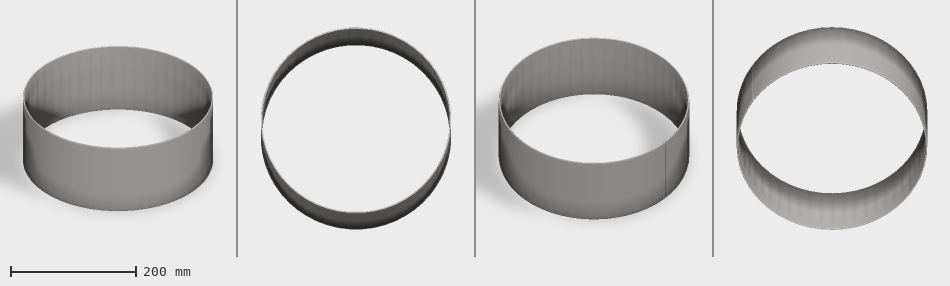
import cadquery as cq

outer_diameter = 305.0
height = 120.0
wall = 2.5
outer_bevel_height = 1.8
inner_bevel_height = 0.5
bevel_inset = 0.5
slit_width = 2.5
slit_start_y = 0.0

outer_radius = outer_diameter / 2
inner_radius = outer_radius - wall
rim_outer_radius = outer_radius - bevel_inset
rim_inner_radius = inner_radius + bevel_inset
top = height / 2
outer_bevel_start = top - outer_bevel_height
inner_bevel_start = top - inner_bevel_height


def make_band():
    """Ring centred on the origin: steep outer bevels and small inner chamfers on both rims."""
    return (
        cq.Workplane("XZ")
        .moveTo(rim_inner_radius, -top)
        .lineTo(rim_outer_radius, -top)
        .lineTo(outer_radius, -outer_bevel_start)
        .lineTo(outer_radius, outer_bevel_start)
        .lineTo(rim_outer_radius, top)
        .lineTo(rim_inner_radius, top)
        .lineTo(inner_radius, inner_bevel_start)
        .lineTo(inner_radius, -inner_bevel_start)
        .close()
        .revolve(360, (0, 0), (0, 1))
    )


def make_slit():
    """Full-height cutter reaching from inside the bore out past the -X wall."""
    return (
        cq.Workplane("XY")
        .box(outer_radius, slit_width, height, centered=(False, False, True))
        .translate((-outer_radius - wall, slit_start_y, 0))
    )


result = make_band().cut(make_slit())